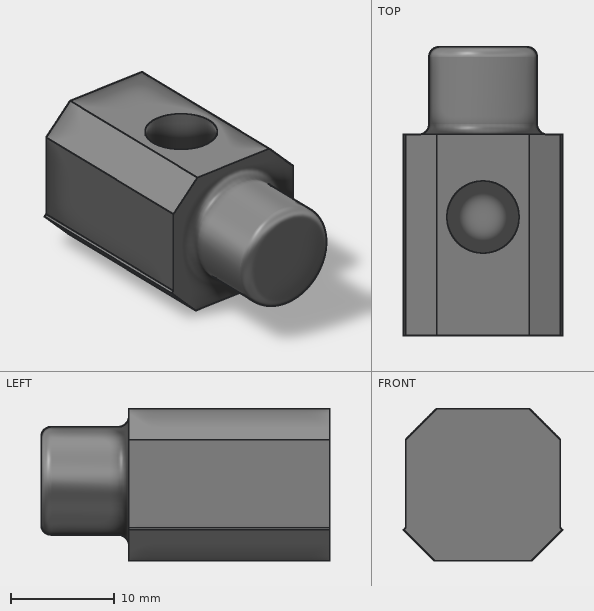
import cadquery as cq

body_width = 15.0
body_length = 19.5
top_height = 7.0
bottom_depth = 7.75
chamfer = 3.0
lip = 0.21

spigot_diameter = 10.5
spigot_length = 8.5
tip_radius = 1.0
root_radius = 1.0

hole_diameter = 7.0
hole_depth = 10.0
hole_from_shoulder = 8.0


def make_body():
    """Octagonal prism whose lower flats end in small 45 degree lips."""
    half_width = body_width / 2
    lip_half_width = half_width + lip
    lip_z = chamfer - bottom_depth
    right_half = [
        (0, -bottom_depth),
        (lip_half_width - chamfer, -bottom_depth),
        (lip_half_width, lip_z),
        (half_width, lip_z + lip),
        (half_width, top_height - chamfer),
        (half_width - chamfer, top_height),
        (0, top_height),
    ]
    return cq.Workplane("XZ").polyline(right_half).mirrorY().extrude(body_length)


def make_spigot():
    """Cylinder with a rounded tip and a flared root, revolved about Y."""
    radius = spigot_diameter / 2
    profile = (
        cq.Workplane("XY")
        .moveTo(0, 0)
        .lineTo(radius + root_radius, 0)
        .radiusArc((radius, root_radius), root_radius)
        .lineTo(radius, spigot_length - tip_radius)
        .radiusArc((radius - tip_radius, spigot_length), -tip_radius)
        .lineTo(0, spigot_length)
        .close()
    )
    return profile.revolve(360, (0, 0, 0), (0, 1, 0))


def make_hole():
    """Flat-bottomed cutter sunk from the top face."""
    return (
        cq.Workplane("XY", origin=(0, -hole_from_shoulder, top_height))
        .circle(hole_diameter / 2)
        .extrude(-hole_depth)
    )


result = make_body().union(make_spigot()).cut(make_hole())